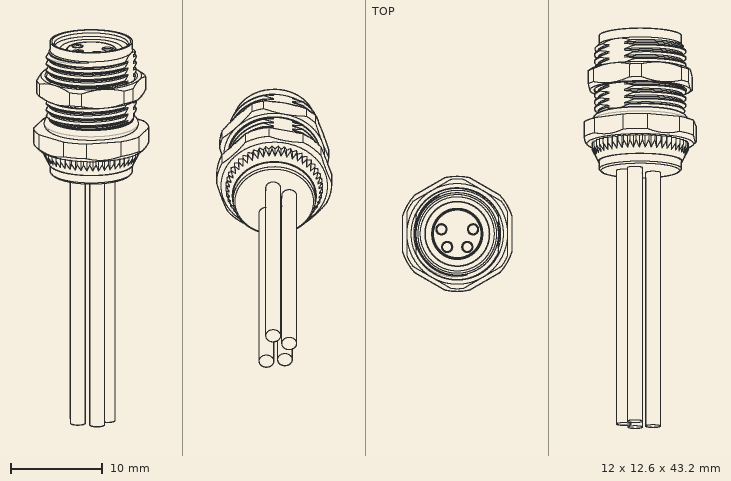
import cadquery as cq
import math


body_height = 15.0
collar_height = 1.0
bottom_collar_top = 1.05
knurl_cone_top = 2.45
flange_bottom = 3.0
flange_top = 5.15
thread_bottom = 6.25
thread_top = body_height - collar_height

collar_d = 9.0
bottom_edge_chamfer = 0.2

thread_d = 10.0
thread_root_d = 9.24
thread_pitch = 0.75
thread_crest_width = 0.12
thread_base_width = 0.67
thread_embed = 0.06
thread_crest_z = 13.18
thread_start_angle = 90.0
thread_end_chamfer = 0.5
flats_width = 9.0

oring_outer_d = 10.3
oring_section_d = 1.1
oring_z = 5.65

flange_width = 12.0
flange_corner_d = 12.6
flange_chamfer = 0.48
nut_width = 11.0
nut_corner_d = 12.0
nut_bottom = 8.95
nut_height = 2.15
nut_chamfer_height = 0.35
nut_bore_d = 9.5
nut_bore_chamfer = 0.3

knurl_d = 10.6
knurl_root_d = 9.84
knurl_cone_small_d = 9.2
knurl_teeth = 48

rim_inner_d = 8.6
rim_chamfer = 0.25
cavity_wall_depth = 0.65
cavity_floor_d = 7.1
cavity_depth = 1.2
sleeve_inner_d = 5.6
sleeve_outer_d = 7.0
sleeve_recess = 0.72
insert_d = 5.4
insert_recess = 0.83
insert_edge_chamfer = 0.1

back_pair_x, back_pair_y = 1.73, 0.5
front_pair_x, front_pair_y = 1.1, -1.43
contact_d = 1.0
contact_chamfer = 0.11
contact_depth = 3.0
drill_tip_angle = 118.0
wire_d = 1.63
wire_length = 28.2
wire_embed = 0.5

wire_positions = [
    (-back_pair_x, back_pair_y),
    (back_pair_x, back_pair_y),
    (-front_pair_x, front_pair_y),
    (front_pair_x, front_pair_y),
]


def cylinder(diameter, bottom, top):
    return cq.Workplane("XY").workplane(offset=bottom).circle(diameter / 2).extrude(top - bottom)


def revolve_profile(points):
    """Revolve a closed (radius, z) outline about the Z axis."""
    return cq.Workplane("XZ").polyline(points).close().revolve(360, (0, 0), (0, 1))


def ring(centre_radius, section_radius, z):
    return cq.Workplane(cq.Solid.makeTorus(centre_radius, section_radius, cq.Vector(0, 0, z)))


def hexagon(width, bottom, height):
    """Hexagonal prism with two of its sides facing +X and -X."""
    prism = cq.Workplane("XY").polygon(6, width / math.cos(math.pi / 6)).extrude(height)
    return prism.rotate((0, 0, 0), (0, 0, 1), 30).translate((0, 0, bottom))


def make_thread():
    """Helical ridge on a core, bevelled at both ends and flattened on the X sides."""
    crest_r = thread_d / 2
    base_r = thread_root_d / 2 - thread_embed
    half_crest = thread_crest_width / 2
    half_base = thread_base_width / 2
    turns_below = math.ceil((thread_crest_z - thread_bottom) / thread_pitch) + 1
    helix_bottom = thread_crest_z - turns_below * thread_pitch
    helix_height = (turns_below + 2) * thread_pitch
    helix = cq.Wire.makeHelix(thread_pitch, helix_height, base_r)
    ridge = (
        cq.Workplane("XZ")
        .polyline([(base_r, -half_base), (crest_r, -half_crest), (crest_r, half_crest), (base_r, half_base)])
        .close()
        .sweep(cq.Workplane(helix), isFrenet=True)
        .rotate((0, 0, 0), (0, 0, 1), thread_start_angle)
        .translate((0, 0, helix_bottom))
    )
    end_r = crest_r - thread_end_chamfer
    outside_r = crest_r + thread_embed
    bevel_height = outside_r - end_r
    envelope = revolve_profile([
        (0, thread_bottom),
        (end_r, thread_bottom),
        (outside_r, thread_bottom + bevel_height),
        (outside_r, thread_top - bevel_height),
        (end_r, thread_top),
        (0, thread_top),
    ])
    flats = cq.Workplane("XY").box(flats_width, 2 * thread_d, 2 * body_height)
    core = cylinder(thread_root_d, helix_bottom - thread_pitch, helix_bottom + helix_height + thread_pitch)
    return core.union(ridge).intersect(envelope).intersect(flats)


def make_flange():
    envelope = cylinder(flange_corner_d, flange_bottom, flange_top).faces("<Z").chamfer(flange_chamfer)
    return hexagon(flange_width, flange_bottom, flange_top - flange_bottom).intersect(envelope)


def make_nut():
    face_r = nut_width / 2
    corner_r = nut_corner_d / 2
    nut_top = nut_bottom + nut_height
    envelope = revolve_profile([
        (0, nut_bottom),
        (face_r, nut_bottom),
        (corner_r, nut_bottom + nut_chamfer_height),
        (corner_r, nut_top - nut_chamfer_height),
        (face_r, nut_top),
        (0, nut_top),
    ])
    bore_r = nut_bore_d / 2
    bore = revolve_profile([
        (0, nut_bottom),
        (bore_r + nut_bore_chamfer, nut_bottom),
        (bore_r, nut_bottom + nut_bore_chamfer),
        (bore_r, nut_top - nut_bore_chamfer),
        (bore_r + nut_bore_chamfer, nut_top),
        (0, nut_top),
    ])
    return hexagon(nut_width, nut_bottom, nut_height).intersect(envelope).cut(bore)


def make_knurl():
    """Toothed ring under the flange, tapering down to the bottom collar."""
    points = []
    for i in range(2 * knurl_teeth):
        radius = (knurl_d if i % 2 == 0 else knurl_root_d) / 2
        angle = math.pi * i / knurl_teeth
        points.append((radius * math.cos(angle), radius * math.sin(angle)))
    toothed = cq.Workplane("XY").polyline(points).close().extrude(flange_bottom)
    envelope = revolve_profile([
        (0, bottom_collar_top),
        (knurl_cone_small_d / 2, bottom_collar_top),
        (knurl_d / 2, knurl_cone_top),
        (knurl_d / 2, flange_bottom),
        (0, flange_bottom),
    ])
    return toothed.intersect(envelope)


def make_cavity():
    """Recess in the mating face: chamfered rim, straight wall, then a funnel to the floor."""
    floor_z = body_height - cavity_depth
    wall_r = rim_inner_d / 2 - rim_chamfer
    return revolve_profile([
        (0, floor_z),
        (cavity_floor_d / 2, floor_z),
        (wall_r, body_height - cavity_wall_depth),
        (wall_r, body_height - rim_chamfer),
        (rim_inner_d / 2, body_height),
        (0, body_height),
    ])


def make_insert():
    face_z = body_height - insert_recess
    floor_z = body_height - cavity_depth
    return cylinder(insert_d, floor_z, face_z).faces(">Z").chamfer(insert_edge_chamfer)


def make_sleeve():
    """Tube around the insert with a fully rounded top edge."""
    inner_r = sleeve_inner_d / 2
    outer_r = sleeve_outer_d / 2
    top_z = body_height - sleeve_recess
    shoulder_z = top_z - (outer_r - inner_r) / 2
    floor_z = body_height - cavity_depth
    return (
        cq.Workplane("XZ")
        .moveTo(inner_r, floor_z)
        .lineTo(outer_r, floor_z)
        .lineTo(outer_r, shoulder_z)
        .threePointArc(((inner_r + outer_r) / 2, top_z), (inner_r, shoulder_z))
        .close()
        .revolve(360, (0, 0), (0, 1))
    )


def make_contact_hole(x, y):
    """Blind hole with a chamfered mouth and a drill-point floor."""
    face_z = body_height - insert_recess
    radius = contact_d / 2
    floor_z = face_z - contact_depth
    tip_z = floor_z - radius / math.tan(math.radians(drill_tip_angle / 2))
    hole = revolve_profile([
        (0, tip_z),
        (radius, floor_z),
        (radius, face_z - contact_chamfer),
        (radius + contact_chamfer, face_z),
        (0, face_z),
    ])
    return hole.translate((x, y, 0))


bottom_collar = cylinder(collar_d, 0, flange_top).faces("<Z").chamfer(bottom_edge_chamfer)
top_collar = cylinder(collar_d, thread_top, body_height)
oring_seat = cylinder(thread_root_d, flange_bottom, thread_bottom)
oring_section_r = oring_section_d / 2
oring = ring(oring_outer_d / 2 - oring_section_r, oring_section_r, oring_z)

result = bottom_collar.union(make_knurl()).union(make_flange()).union(oring_seat).union(oring)
result = result.union(make_thread()).union(top_collar).union(make_nut())
result = result.cut(make_cavity()).union(make_insert()).union(make_sleeve())

for x, y in wire_positions:
    result = result.cut(make_contact_hole(x, y))
    result = result.union(cylinder(wire_d, -wire_length, wire_embed).translate((x, y, 0)))